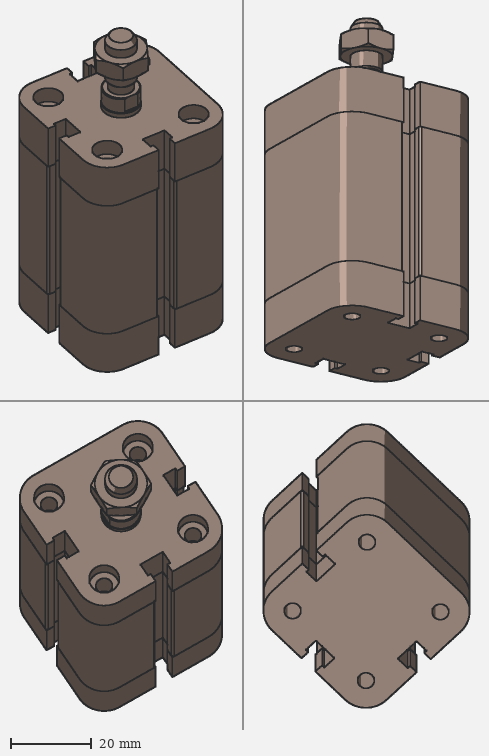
import cadquery as cq
import math

housing_width = 40.5
housing_top = 64.0
barrel_height = 40.0
cap_height = (housing_top - barrel_height) / 2
barrel_base = cap_height
barrel_top = barrel_base + barrel_height

bolt_offset = 13.0
bolt_hole_diameter = 4.1
counterbore_diameter = 7.5
counterbore_depth = 4.2
corner_radius = housing_width / 2 - bolt_offset

slot_angles = [0, -90, 90]
slot_mouth_width = 4.9
slot_inner_width = 6.5
slot_lip_depth = 2.3
slot_depth = 5.85
slot_lead_in = 0.5

overall_height = 86.0
collar_diameter = 10.0
collar_edge = housing_top + 1.3
collar_top = housing_top + 1.55
shank_diameter = 9.8
shank_top = housing_top + 5.9
shank_chamfer = 0.3
flat_width = 9.0
flat_bottom = housing_top + 1.8
neck_diameter = 6.7
neck_top = housing_top + 8.4
thread_diameter = 8.0
thread_run_out = 0.4
tip_diameter = 6.0
tip_height = 1.55

nut_across_flats = 13.0
nut_height = 5.0
nut_base = housing_top + 13.0
nut_chamfer_angle = 30


def t_slot(base, height):
    """Cutter for one T-slot in the -Y side."""
    side = -housing_width / 2
    mouth = cq.Workplane("XY", origin=(0, side, base)).rect(slot_mouth_width, 2 * slot_lip_depth)
    inner_depth = slot_depth - slot_lip_depth
    inner_center = side + slot_lip_depth + inner_depth / 2
    inner = cq.Workplane("XY", origin=(0, inner_center, base)).rect(slot_inner_width, inner_depth)
    return mouth.extrude(height).union(inner.extrude(height))


def slot_mouth_chamfer(base, height):
    """Cutter that bevels both edges of one slot mouth in the -Y side."""
    side = -housing_width / 2
    half_mouth = slot_mouth_width / 2
    outline = [
        (-half_mouth - slot_lead_in, side),
        (half_mouth + slot_lead_in, side),
        (half_mouth, side + slot_lead_in),
        (-half_mouth, side + slot_lead_in),
    ]
    return cq.Workplane("XY", origin=(0, 0, base)).polyline(outline).close().extrude(height)


def cut_on_slotted_sides(body, cutter):
    for angle in slot_angles:
        body = body.cut(cutter.rotate((0, 0, 0), (0, 0, 1), angle))
    return body


def bolt_circles(z, diameter, height):
    """Four cylinders on the tie bolt axes."""
    spacing = 2 * bolt_offset
    axes = cq.Workplane("XY", origin=(0, 0, z)).rarray(spacing, spacing, 2, 2)
    return axes.circle(diameter / 2).extrude(height)


def housing_section(base, height):
    """Rounded square block with its T-slots and tie bolt holes."""
    block = cq.Workplane("XY", origin=(0, 0, base)).rect(housing_width, housing_width).extrude(height)
    block = block.edges("|Z").fillet(corner_radius)
    block = cut_on_slotted_sides(block, t_slot(base, height))
    return block.cut(bolt_circles(base, bolt_hole_diameter, height))


def make_rear_cap():
    return housing_section(0, cap_height)


def make_barrel():
    barrel = housing_section(barrel_base, barrel_height)
    return cut_on_slotted_sides(barrel, slot_mouth_chamfer(barrel_base, barrel_height))


def make_front_cap():
    """End cap with bolt head counterbores and the rod bore."""
    cap = housing_section(barrel_top, cap_height)
    cap = cap.cut(bolt_circles(housing_top - counterbore_depth, counterbore_diameter, counterbore_depth))
    rod_bore = cq.Workplane("XY", origin=(0, 0, barrel_top)).circle(collar_diameter / 2).extrude(cap_height)
    return cap.cut(rod_bore)


def make_rod():
    """Turned rod, from the inner face of the front cap up to the threaded tip."""
    collar_radius = collar_diameter / 2
    shank_radius = shank_diameter / 2
    neck_radius = neck_diameter / 2
    thread_radius = thread_diameter / 2
    profile = [
        (0, barrel_top),
        (collar_radius, barrel_top),
        (collar_radius, collar_edge),
        (shank_radius, collar_top),
        (shank_radius, shank_top - shank_chamfer),
        (shank_radius - shank_chamfer, shank_top),
        (neck_radius, shank_top),
        (neck_radius, neck_top),
        (thread_radius - thread_run_out, neck_top),
        (thread_radius, neck_top + thread_run_out),
        (thread_radius, overall_height - tip_height),
        (tip_diameter / 2, overall_height),
        (0, overall_height),
    ]
    rod = cq.Workplane("XZ").polyline(profile).close().revolve(360, (0, 0, 0), (0, 1, 0))

    flat_height = shank_top - flat_bottom
    flat_zone = cq.Workplane("XY", origin=(0, 0, flat_bottom))
    removed = flat_zone.rect(collar_diameter, collar_diameter).extrude(flat_height)
    kept = flat_zone.rect(flat_width, collar_diameter).extrude(flat_height)
    return rod.cut(removed.cut(kept))


def make_nut():
    """Hexagon nut with corners on the Y axis and both faces chamfered."""
    face_radius = nut_across_flats / 2
    hex_radius = face_radius / math.cos(math.pi / 6)
    chamfer_height = (hex_radius - face_radius) * math.tan(math.radians(nut_chamfer_angle))
    nut_top = nut_base + nut_height
    nut = cq.Workplane("XY", origin=(0, 0, nut_base)).polygon(6, 2 * hex_radius).extrude(nut_height)
    nut = nut.rotate((0, 0, 0), (0, 0, 1), 90)

    chamfer_profile = [
        (0, nut_base),
        (face_radius, nut_base),
        (hex_radius, nut_base + chamfer_height),
        (hex_radius, nut_top - chamfer_height),
        (face_radius, nut_top),
        (0, nut_top),
    ]
    envelope = cq.Workplane("XZ").polyline(chamfer_profile).close().revolve(360, (0, 0, 0), (0, 1, 0))
    bore = cq.Workplane("XY", origin=(0, 0, nut_base)).circle(thread_diameter / 2).extrude(nut_height)
    return nut.intersect(envelope).cut(bore)


rear_cap = make_rear_cap()
barrel = make_barrel()
front_cap = make_front_cap()
rod = make_rod()
nut = make_nut()

result = cq.Compound.makeCompound([
    rear_cap.val(),
    barrel.val(),
    front_cap.val(),
    rod.val(),
    nut.val(),
])